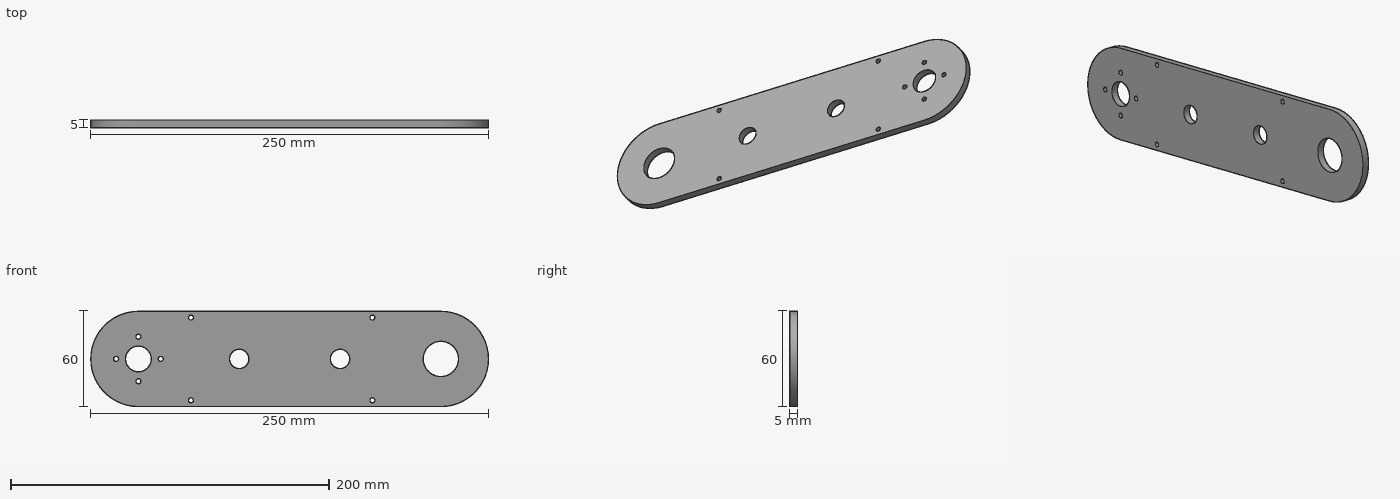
import cadquery as cq

LENGTH = 250.0
HEIGHT = 60.0
THICKNESS = 5.0
END_CENTER_X = (LENGTH - HEIGHT) / 2

BORE_SPACING = 2 * END_CENTER_X / 3
MOTOR_BORE_DIAMETER = 16.0
MIDDLE_BORE_DIAMETER = 12.0
END_BORE_DIAMETER = 22.0

SCREW_DIAMETER = 3.0
MOTOR_SCREW_COUNT = 4
MOTOR_SCREW_CIRCLE_RADIUS = 14.0
EDGE_SCREW_LEFT_X = -62.0
EDGE_SCREW_RIGHT_X = 52.0
EDGE_SCREW_MARGIN = 4.0
EDGE_SCREW_Z = HEIGHT / 2 - EDGE_SCREW_MARGIN


def plate_plane(x=0.0):
    """Workplane on the plate's mid-thickness, with its origin moved to x."""
    return cq.Workplane("XZ", origin=(x, 0, 0))


def make_plate():
    return plate_plane().slot2D(LENGTH, HEIGHT).extrude(THICKNESS / 2, both=True)


def bore_cutter(x, diameter):
    return plate_plane(x).circle(diameter / 2).extrude(THICKNESS, both=True)


def motor_screw_cutter():
    """Ring of screw holes around the bore at the left end."""
    return (
        plate_plane(-END_CENTER_X)
        .polarArray(MOTOR_SCREW_CIRCLE_RADIUS, 0, 360, MOTOR_SCREW_COUNT)
        .circle(SCREW_DIAMETER / 2)
        .extrude(THICKNESS, both=True)
    )


def edge_screw_cutter():
    """Pairs of screw holes along the two straight edges."""
    centers = [
        (x, z)
        for x in (EDGE_SCREW_LEFT_X, EDGE_SCREW_RIGHT_X)
        for z in (-EDGE_SCREW_Z, EDGE_SCREW_Z)
    ]
    return (
        plate_plane()
        .pushPoints(centers)
        .circle(SCREW_DIAMETER / 2)
        .extrude(THICKNESS, both=True)
    )


bore_diameters = (
    MOTOR_BORE_DIAMETER,
    MIDDLE_BORE_DIAMETER,
    MIDDLE_BORE_DIAMETER,
    END_BORE_DIAMETER,
)

result = make_plate()
for index, bore_diameter in enumerate(bore_diameters):
    result = result.cut(bore_cutter(-END_CENTER_X + index * BORE_SPACING, bore_diameter))
result = result.cut(motor_screw_cutter())
result = result.cut(edge_screw_cutter())